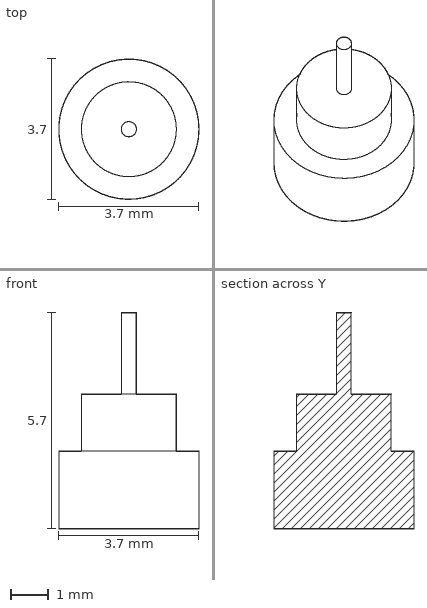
import cadquery as cq

total_height = 5.7
base_diameter = 3.7
base_height = 2.05
collar_diameter = 2.5
collar_height = 1.5
insert_diameter = 1.95
pin_diameter = 0.4

collar_top = base_height + collar_height
pin_height = total_height - collar_top


def cylinder(diameter, height, bottom):
    """Upright cylinder on the Z axis, starting at the given height."""
    return cq.Workplane("XY").workplane(offset=bottom).circle(diameter / 2).extrude(height)


base = cylinder(base_diameter, base_height, 0)
collar = cylinder(collar_diameter, collar_height, base_height)
insert = cylinder(insert_diameter, collar_height, base_height)
pin = cylinder(pin_diameter, pin_height, collar_top)

result = base.union(collar).union(insert, clean=False).union(pin, clean=False)